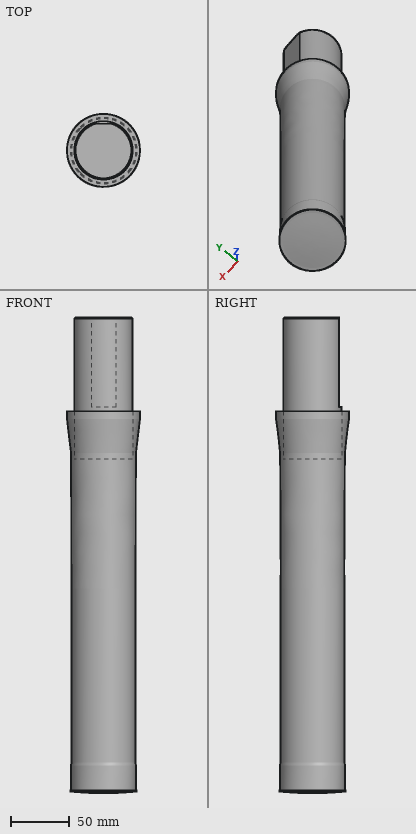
import cadquery as cq

total_height = 406.0
collar_top = 326.0

collar_diameter = 62.5
neck_diameter = 55.5
tube_diameter = 55.0
band_diameter = 55.5
flange_diameter = 57.0
dome_diameter = 51.0

dome_height = 1.2
flange_thickness = 1.5
band_top = 24.0
tube_bottom = 26.5
tube_top = 174.5
neck_bottom = 285.0
neck_top = 290.3
collar_height = 6.5

rod_diameter = 50.0
rod_chamfer = 1.2
rod_insertion = 40.5
flat_distance = 22.7
flat_bottom = 329.5

flange_top = dome_height + flange_thickness
collar_bottom = collar_top - collar_height
rod_bottom = collar_top - rod_insertion


def make_cylinder():
    """Turned outer body with a shallow domed base and a blind socket for the rod."""
    dome_radius = dome_diameter / 2
    flange_radius = flange_diameter / 2
    band_radius = band_diameter / 2
    tube_radius = tube_diameter / 2
    neck_radius = neck_diameter / 2
    collar_radius = collar_diameter / 2
    dome_midpoint = (dome_radius / 2, dome_height / 4)
    body = (
        cq.Workplane("XZ")
        .moveTo(0, 0)
        .threePointArc(dome_midpoint, (dome_radius, dome_height))
        .lineTo(flange_radius, dome_height)
        .lineTo(flange_radius, flange_top)
        .lineTo(band_radius, flange_top)
        .lineTo(band_radius, band_top)
        .lineTo(tube_radius, tube_bottom)
        .lineTo(tube_radius, tube_top)
        .lineTo(neck_radius, neck_bottom)
        .lineTo(neck_radius, neck_top)
        .lineTo(collar_radius, collar_bottom)
        .lineTo(collar_radius, collar_top)
        .lineTo(0, collar_top)
        .close()
        .revolve(360, (0, 0), (0, 1))
    )
    socket = (
        cq.Workplane("XY", origin=(0, 0, rod_bottom))
        .circle(rod_diameter / 2)
        .extrude(rod_insertion)
    )
    return body.cut(socket)


def make_rod():
    """Round rod with a chamfered end and a flat along its +Y side."""
    rod = (
        cq.Workplane("XY", origin=(0, 0, rod_bottom))
        .circle(rod_diameter / 2)
        .extrude(total_height - rod_bottom)
        .faces(">Z")
        .chamfer(rod_chamfer)
    )
    flat_cutter = cq.Workplane("XY").box(
        rod_diameter, rod_diameter, total_height - flat_bottom, centered=(True, False, False)
    ).translate((0, flat_distance, flat_bottom))
    return rod.cut(flat_cutter)


cylinder = make_cylinder()
rod = make_rod()
result = cq.Compound.makeCompound([cylinder.val(), rod.val()])